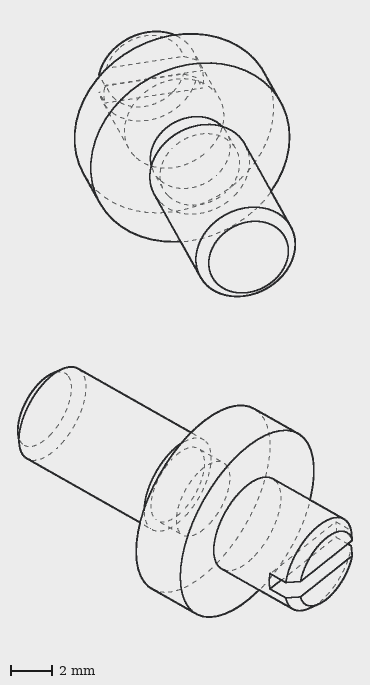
import cadquery as cq

total_length = 17.8
shaft_diameter = 5.0
collar_diameter = 2 * shaft_diameter
neck_diameter = 4.0
head_length = 5.0
collar_thickness = 2.8
neck_length = 1.6
end_chamfer = 0.5
slot_width = 1.0
slot_depth = 1.5

collar_start = head_length
neck_start = collar_start + collar_thickness
shank_start = neck_start + neck_length
shank_length = total_length - shank_start


def cylinder(start, length, diameter):
    """Solid cylinder along +X from the given station."""
    return cq.Workplane("YZ", origin=(start, 0, 0)).circle(diameter / 2).extrude(length)


head = cylinder(0, head_length, shaft_diameter).faces("<X").chamfer(end_chamfer)
shank = cylinder(shank_start, shank_length, shaft_diameter).faces(">X").chamfer(end_chamfer)

collar = cylinder(collar_start, collar_thickness, collar_diameter)
neck = cylinder(neck_start, neck_length, neck_diameter)

slot = cq.Workplane("XY").box(
    slot_depth, shaft_diameter, slot_width, centered=(False, True, True)
)

result = head.union(collar).union(neck).union(shank).cut(slot)